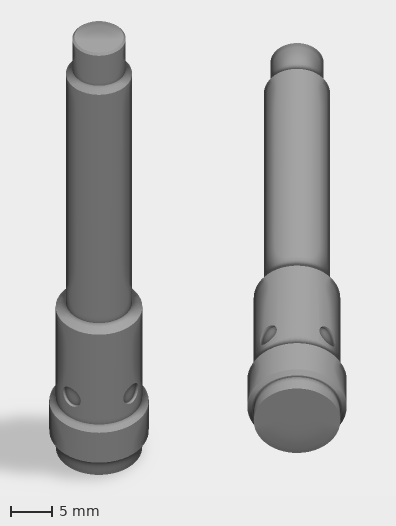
import cadquery as cq

total_height = 65.0
pin_length = 5.0
plug_height = 2.1
collar_top = 8.0
body_top = 23.0
shank_top = total_height - pin_length

collar_diameter = 12.0
collar_radius = collar_diameter / 2
body_diameter = 10.45
body_radius = body_diameter / 2
shank_diameter = 8.0
shank_radius = shank_diameter / 2
pin_diameter = 6.45
pin_radius = pin_diameter / 2
plug_radius = body_radius

collar_bevel_height = 0.65
collar_lower_bevel = 0.5
body_bevel_height = 0.8
shank_bevel = shank_radius - pin_radius
pin_chamfer = 0.25

dimple_count = 4
dimple_diameter = 2.8
dimple_depth = 0.4
dimple_height = 11.3


def make_plug():
    """Plain disc closing the lower end of the sleeve."""
    return cq.Workplane("XY").circle(plug_radius).extrude(plug_height)


def make_dimple_cutters():
    """Radial cylinders with rounded inner ends, so each dimple has a floor concentric with the body."""
    core = (
        cq.Workplane("XY", origin=(0, 0, dimple_height - dimple_diameter))
        .circle(body_radius - dimple_depth)
        .extrude(2 * dimple_diameter)
    )
    cutter = (
        cq.Workplane("YZ", origin=(0, 0, dimple_height))
        .circle(dimple_diameter / 2)
        .extrude(collar_radius)
        .cut(core)
    )
    step = 360 / dimple_count
    return [cutter.rotate((0, 0, 0), (0, 0, 1), i * step) for i in range(dimple_count)]


def make_sleeve():
    """Turned sleeve with a bevelled collar, a thick body and a long slim shank."""
    sleeve = (
        cq.Workplane("XZ")
        .moveTo(0, plug_height)
        .lineTo(collar_radius - collar_lower_bevel, plug_height)
        .lineTo(collar_radius, plug_height + collar_lower_bevel)
        .lineTo(collar_radius, collar_top - collar_bevel_height)
        .lineTo(body_radius, collar_top)
        .lineTo(body_radius, body_top - body_bevel_height)
        .lineTo(shank_radius, body_top)
        .lineTo(shank_radius, shank_top - shank_bevel)
        .lineTo(pin_radius, shank_top)
        .lineTo(0, shank_top)
        .close()
        .revolve(360, (0, 0, 0), (0, 1, 0))
    )
    for cutter in make_dimple_cutters():
        sleeve = sleeve.cut(cutter)
    return sleeve


def make_pin():
    """Cylindrical tip standing on the shank, with a chamfered top edge."""
    return (
        cq.Workplane("XY", origin=(0, 0, shank_top))
        .circle(pin_radius)
        .extrude(pin_length)
        .faces(">Z")
        .chamfer(pin_chamfer)
    )


plug = make_plug()
sleeve = make_sleeve()
pin = make_pin()

result = cq.Compound.makeCompound([plug.val(), sleeve.val(), pin.val()])